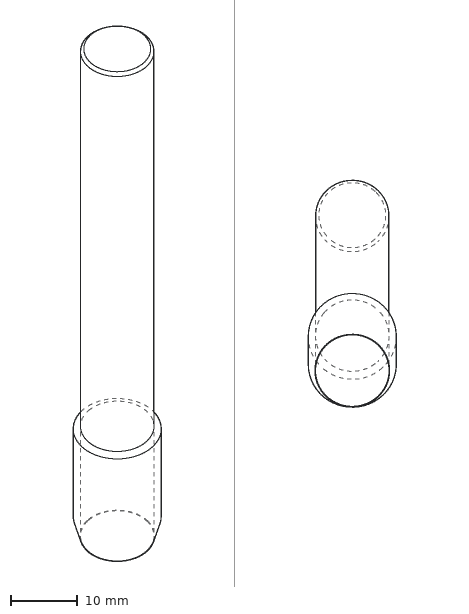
import cadquery as cq

total_length = 100.0
rod_diameter = 11.0
sleeve_diameter = 13.2
sleeve_length = 22.5

rod_chamfer = 0.5
shoulder_height = 0.5
taper_height = 4.0
taper_end_diameter = 11.2

rod_radius = rod_diameter / 2
sleeve_radius = sleeve_diameter / 2


def make_rod():
    """Full-length round rod with a chamfered top edge."""
    rod = cq.Workplane("XY").circle(rod_radius).extrude(total_length)
    return rod.faces(">Z").chamfer(rod_chamfer)


def make_sleeve():
    """Sleeve revolved around the rod, with a conical shoulder and a tapered lower end."""
    profile = (
        cq.Workplane("XZ")
        .moveTo(rod_radius, 0)
        .lineTo(taper_end_diameter / 2, 0)
        .lineTo(sleeve_radius, taper_height)
        .lineTo(sleeve_radius, sleeve_length - shoulder_height)
        .lineTo(rod_radius, sleeve_length)
        .close()
    )
    return profile.revolve(360, (0, 0, 0), (0, 1, 0))


rod = make_rod()
sleeve = make_sleeve()

result = cq.Compound.makeCompound([rod.val(), sleeve.val()])